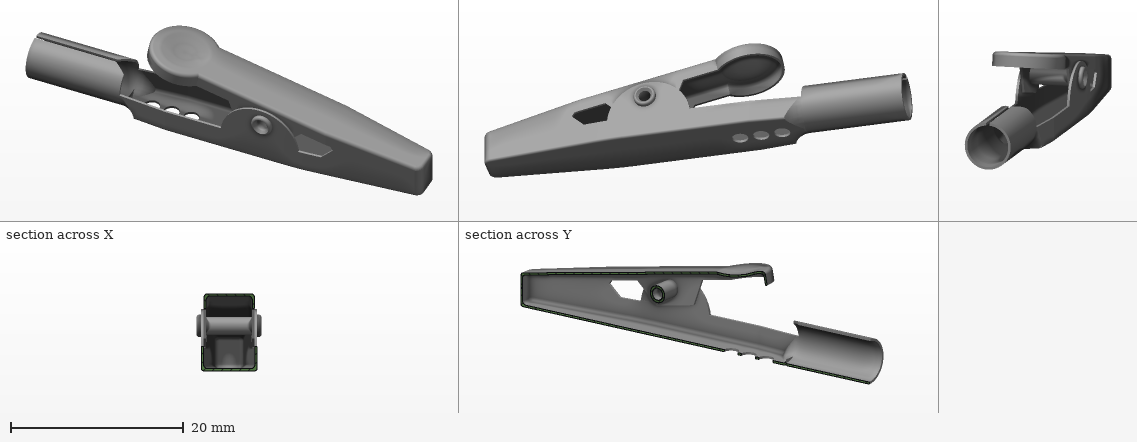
import cadquery as cq
import math

LENGTH = 50.0
SHEET = 0.3
INNER_BEND = 0.45
TALL = 20.0
WIDE = 10.0

BASE_HALF = 3.25
LEVER_HALF = BASE_HALF - SHEET
TIP_HALF = 1.9
TAPER_START = 38.3
TAPER_SLOPE = (LEVER_HALF - TIP_HALF) / (LENGTH - TAPER_START)
NOSE_ROUND = 0.9
NOSE_INNER_ROUND = 0.5

TUBE_LENGTH = 11.95
TUBE_RADIUS = 2.75
TUBE_BORE = TUBE_RADIUS - SHEET
SEAM_HALF = 0.2
SEAM_FLARE_START = 10.35
SEAM_FLARE_HALF = 1.5
SHOULDER_LENGTH = 1.9
SHOULDER_RADIUS = 3.75
INNER_SHOULDER_LENGTH = 2.2
INNER_SHOULDER_RADIUS = 3.45

WALL_TOP = 2.85
FRONT_WALL_TOP = 2.65
NECK_END = 18.0
BASE_EDGE_ROUND = 0.3
TAPER_BEND_REACH = 1.85
EAR_X = 30.0
EAR_Z = 2.2
EAR_RADIUS = 4.95
FRONT_RAMP_X = 37.75
FLOOR_HOLE_RADIUS = 0.95
FLOOR_HOLE_START = 14.85
FLOOR_HOLE_PITCH = 2.5
FLOOR_HOLE_COUNT = 3

LEVER_ANGLE = math.radians(11.0)
PAD_X = 19.15
PAD_Z = 10.1
PAD_RADIUS = 4.25
SKIRT_DEPTH = 1.7
LEVER_EDGE_ROUND = 0.45
DISH_RADIUS = 3.15
DISH_DEPTH = 0.4
BALL_EDGE = 2.75
DISH_SLOPE = 2 * math.atan(DISH_DEPTH / DISH_RADIUS)
BALL_RADIUS = BALL_EDGE / math.sin(DISH_SLOPE)
LUG_BACK = 7.25
LUG_FRONT = 16.7
LUG_DEPTH = 3.0
LUG_BACK_RUN = 1.8
LUG_FRONT_RUN = 2.25

TOOTH_PITCH = 2.25
TOOTH_DEPTH = TOOTH_PITCH / 2
FIRST_TOOTH = 20.45
TOOTH_COUNT = 6
FIRST_CONTACT = 0.35

RIVET_X = 30.4
RIVET_Z = 5.2
RIVET_RADIUS = 1.05
RIVET_BORE = 0.7
RIM_RADIUS = 1.3
RIM_HEIGHT = 0.5

COS = math.cos(LEVER_ANGLE)
SIN = math.sin(LEVER_ANGLE)
lever_plane = cq.Plane(origin=(PAD_X, 0, PAD_Z), xDir=(COS, 0, -SIN), normal=(SIN, 0, COS))


def on_lever(along, depth):
    """X, Z of a point given along the lever from the pad centre and below its top surface."""
    return (PAD_X + along * COS - depth * SIN, PAD_Z - along * SIN - depth * COS)


def tooth_line():
    """Zigzag where the jaws meet: a root on the skirt edge and a lever tooth tip per pitch."""
    points = []
    for i in range(TOOTH_COUNT):
        root = FIRST_TOOTH + i * TOOTH_PITCH
        points.append(on_lever(root, SKIRT_DEPTH))
        points.append(on_lever(root + TOOTH_PITCH / 2, SKIRT_DEPTH + TOOTH_DEPTH))
    return points


def side_prism(points):
    """Side outline in X, Z, extruded across the full width."""
    return cq.Workplane("XZ").polyline(points).close().extrude(WIDE / 2, both=True)


def cross_cylinder(x, z, radius):
    return cq.Workplane("XZ").center(x, z).circle(radius).extrude(WIDE / 2, both=True)


def base_plan(inset, corner_round, bottom, top):
    """Channel outline moved inward by inset, as a prism between two heights."""
    half = BASE_HALF - inset
    neck_half = TUBE_RADIUS - inset
    end = LENGTH - inset
    bend_x = TAPER_START - (BASE_HALF - LEVER_HALF) / TAPER_SLOPE
    run = TAPER_BEND_REACH
    bend_end_half = half - run * TAPER_SLOPE
    end_half = half - (end - bend_x) * TAPER_SLOPE
    return (
        cq.Workplane("XY", origin=(0, 0, bottom))
        .moveTo(TUBE_LENGTH, -neck_half)
        .lineTo(NECK_END, -half)
        .lineTo(bend_x - run, -half)
        .tangentArcPoint((bend_x + run, -bend_end_half), relative=False)
        .lineTo(end, -end_half)
        .lineTo(end, end_half)
        .lineTo(bend_x + run, bend_end_half)
        .tangentArcPoint((bend_x - run, half), relative=False)
        .lineTo(NECK_END, half)
        .lineTo(TUBE_LENGTH, neck_half)
        .close()
        .extrude(top - bottom)
        .edges("|Z and >X")
        .fillet(corner_round)
    )


def shoulder_core(start_radius, length, end_radius):
    """Space ahead of the tube that flares open smoothly and then clears the whole channel."""
    end_x = TUBE_LENGTH + length
    rise = end_radius - start_radius
    arc_radius = (length ** 2 + rise ** 2) / (2 * rise)
    return (
        cq.Workplane("XY", origin=(0, 0, TUBE_RADIUS))
        .moveTo(TUBE_LENGTH, 0)
        .lineTo(TUBE_LENGTH, start_radius)
        .radiusArc((end_x, end_radius), -arc_radius)
        .lineTo(end_x, WIDE)
        .lineTo(LENGTH, WIDE)
        .lineTo(LENGTH, 0)
        .close()
        .revolve(360, (0, 0, 0), (1, 0, 0))
    )


def base_side():
    """Side outline of the base: low walls, a round ear and the toothed jaw."""
    zigzag = tooth_line()
    root, tip = zigzag[0], zigzag[1]
    contact = tuple(r + FIRST_CONTACT * (t - r) for r, t in zip(root, tip))
    last_x = zigzag[-1][0]
    walls = side_prism(
        [(TUBE_LENGTH, 0), (TUBE_LENGTH, WALL_TOP), (EAR_X, WALL_TOP), (EAR_X, FRONT_WALL_TOP),
         (FRONT_RAMP_X, FRONT_WALL_TOP), contact, *zigzag[1:], (last_x, 0)]
    )
    ear = cross_cylinder(EAR_X, EAR_Z, EAR_RADIUS)
    above_floor = cq.Workplane("XY").box(LENGTH, WIDE, TALL, centered=(False, True, False))
    return walls.union(ear.intersect(above_floor))


def tube():
    ring = (
        cq.Workplane("YZ", origin=(0, 0, TUBE_RADIUS))
        .circle(TUBE_RADIUS)
        .circle(TUBE_BORE)
        .extrude(TUBE_LENGTH)
    )
    seam = (
        cq.Workplane("XY", origin=(0, 0, TUBE_RADIUS))
        .moveTo(0, -SEAM_HALF)
        .lineTo(SEAM_FLARE_START, -SEAM_HALF)
        .tangentArcPoint((TUBE_LENGTH, -SEAM_FLARE_HALF), relative=False)
        .lineTo(TUBE_LENGTH, SEAM_FLARE_HALF)
        .lineTo(SEAM_FLARE_START, SEAM_HALF)
        .lineTo(0, SEAM_HALF)
        .close()
        .extrude(TUBE_RADIUS)
    )
    return ring.cut(seam).cut(seam.mirror("XZ"))


def make_base():
    outside = base_plan(0, NOSE_ROUND, 0, TALL).faces("<Z").edges().fillet(BASE_EDGE_ROUND)
    inside = base_plan(SHEET, NOSE_INNER_ROUND, SHEET, TALL).faces("<Z").edges().fillet(INNER_BEND)
    outside = outside.intersect(shoulder_core(TUBE_RADIUS, SHOULDER_LENGTH, SHOULDER_RADIUS))
    inside = inside.intersect(shoulder_core(TUBE_BORE, INNER_SHOULDER_LENGTH, INNER_SHOULDER_RADIUS))
    channel = outside.cut(inside).intersect(base_side())
    lug_clearance = (
        cq.Workplane("XY", origin=(EAR_X, 0, WALL_TOP))
        .box(EAR_RADIUS, 2 * LEVER_HALF, TALL, centered=(False, True, False))
    )
    holes = (
        cq.Workplane("XY")
        .pushPoints([(FLOOR_HOLE_START + i * FLOOR_HOLE_PITCH, 0) for i in range(FLOOR_HOLE_COUNT)])
        .circle(FLOOR_HOLE_RADIUS)
        .extrude(2 * SHEET)
    )
    rivet_hole = cross_cylinder(RIVET_X, RIVET_Z, RIVET_RADIUS)
    return channel.union(tube()).cut(lug_clearance).cut(holes).cut(rivet_hole)


def lever_plan(inset, corner_round):
    """Upright prism over the lever outline ahead of the pad centre, moved inward by inset."""
    half = LEVER_HALF - inset
    end = LENGTH - inset
    end_half = half - (end - TAPER_START) * TAPER_SLOPE
    return (
        cq.Workplane("XY")
        .polyline([(PAD_X, -half), (TAPER_START, -half), (end, -end_half),
                   (end, end_half), (TAPER_START, half), (PAD_X, half)])
        .close()
        .extrude(TALL)
        .edges("|Z and >X")
        .fillet(corner_round)
    )


def pad(inset):
    """Round end of the lever, moved inward by inset from its top and its side."""
    return (
        cq.Workplane(lever_plane)
        .workplane(offset=-SKIRT_DEPTH)
        .circle(PAD_RADIUS - inset)
        .extrude(SKIRT_DEPTH - inset)
    )


def lever_side():
    """Side outline of the lever: skirt, pivot lug and teeth."""
    lug_bottom = SKIRT_DEPTH + LUG_DEPTH
    return side_prism(
        [on_lever(0, 0), on_lever(0, SKIRT_DEPTH), on_lever(LUG_BACK, SKIRT_DEPTH),
         on_lever(LUG_BACK + LUG_BACK_RUN, lug_bottom),
         on_lever(LUG_FRONT - LUG_FRONT_RUN, lug_bottom),
         on_lever(LUG_FRONT, SKIRT_DEPTH), *tooth_line(), on_lever(LENGTH, 0)]
    )


def cavity_side():
    """Everything below the lever's top plate."""
    return side_prism(
        [on_lever(0, SHEET), on_lever(0, TALL), on_lever(LENGTH, TALL), on_lever(LENGTH, SHEET)]
    )


def round_top(body, radius):
    """Round every edge of the body's sloping top face."""
    return body.faces(cq.DirectionMinMaxSelector(lever_plane.zDir, True)).edges().fillet(radius)


def dish():
    """Shallow round hollow in the pad with a softly rounded edge."""
    profile_plane = cq.Plane(origin=lever_plane.origin, xDir=lever_plane.xDir, normal=(0, -1, 0))
    edge_depth = (DISH_RADIUS - BALL_EDGE) * math.tan(DISH_SLOPE / 2)
    middle = BALL_EDGE / 2
    middle_depth = DISH_DEPTH - BALL_RADIUS + math.sqrt(BALL_RADIUS ** 2 - middle ** 2)
    return (
        cq.Workplane(profile_plane)
        .moveTo(0, -DISH_DEPTH)
        .threePointArc((middle, -middle_depth), (BALL_EDGE, -edge_depth))
        .tangentArcPoint((DISH_RADIUS, 0), relative=False)
        .lineTo(DISH_RADIUS, DISH_DEPTH)
        .lineTo(0, DISH_DEPTH)
        .close()
        .revolve(360, (0, 0, 0), (0, 1, 0))
    )


def make_lever():
    outside = lever_plan(0, NOSE_ROUND).intersect(lever_side()).union(pad(0))
    inside = lever_plan(SHEET, NOSE_INNER_ROUND).intersect(cavity_side()).union(pad(SHEET))
    bulge = (
        cq.Workplane(lever_plane)
        .workplane(offset=BALL_RADIUS - DISH_DEPTH)
        .sphere(BALL_RADIUS + SHEET)
    )
    return (
        round_top(outside, LEVER_EDGE_ROUND)
        .cut(round_top(inside, INNER_BEND).cut(bulge))
        .cut(dish())
        .cut(cross_cylinder(RIVET_X, RIVET_Z, RIVET_RADIUS))
    )


def make_rivet():
    """Hollow rivet with a rounded, countersunk rim outside each ear."""
    roll = (RIM_RADIUS - RIVET_BORE) / 2
    top = BASE_HALF + RIM_HEIGHT
    roll_start = top - roll
    diagonal = roll * math.sqrt(0.5)
    crest = RIVET_BORE + roll
    outer_turn = (crest + diagonal, roll_start + diagonal)
    return (
        cq.Workplane("XY")
        .moveTo(RIVET_BORE, -roll_start)
        .lineTo(RIVET_BORE, roll_start)
        .lineTo(crest, top)
        .threePointArc(outer_turn, (RIM_RADIUS, roll_start))
        .lineTo(RIM_RADIUS, BASE_HALF)
        .lineTo(RIVET_RADIUS, BASE_HALF)
        .lineTo(RIVET_RADIUS, -BASE_HALF)
        .lineTo(RIM_RADIUS, -BASE_HALF)
        .lineTo(RIM_RADIUS, -roll_start)
        .threePointArc((outer_turn[0], -outer_turn[1]), (crest, -top))
        .close()
        .revolve(360, (0, 0, 0), (0, 1, 0))
        .translate((RIVET_X, 0, RIVET_Z))
    )


base = make_base()
lever = make_lever()
rivet = make_rivet()
result = cq.Compound.makeCompound([base.val(), lever.val(), rivet.val()])